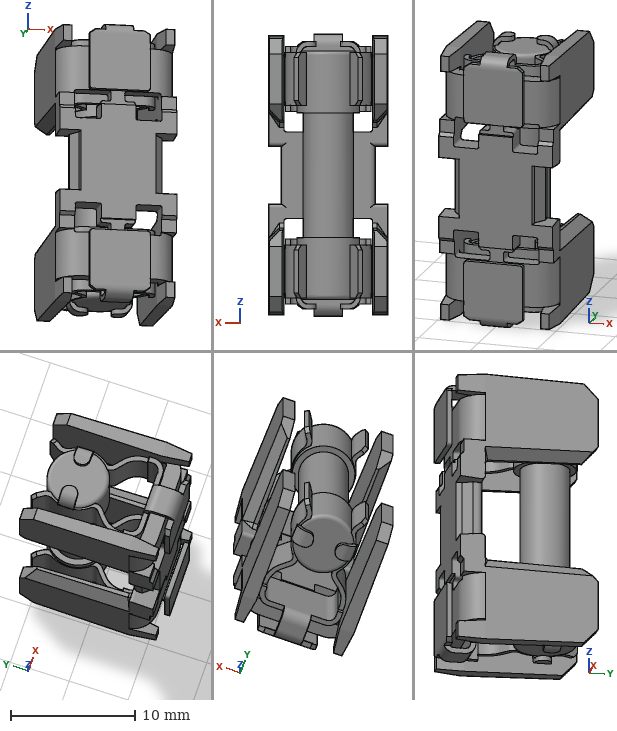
import cadquery as cq


WALL_OPEN_Y = 6.0
PLATE_BACK_Y = -3.31
CLIP_SEAT_Y = -3.72
PLATE_FRONT_Y = -5.08
BODY_FRONT_Y = -5.36
LEG_TIP_Y = -5.53

HALF_WIDTH = 4.8
OPEN_HALF_WIDTH = 4.72
WALL_INNER_X = 3.56
WALL_INNER_OPEN_X = 3.72
WAIST_HALF_WIDTH = 3.8
WAIST_FRONT_HALF_WIDTH = 3.07
PLATE_CORNER_RADIUS = 2.04

FLANGE_BOTTOM_Z = 2.48
FLANGE_BACK_DROP = 0.15
FLANGE_TOP_Z = 5.62
PLATE_TOP_Z = 9.52
WALL_TOP_Z = 11.24
LEG_BOTTOM_Z = 9.65
STEP_BOTTOM_Z = 4.28

WINDOW_BOTTOM_Z = 3.5
WINDOW_TOP_Z = 5.9
TONGUE_TOP_Z = 4.73
TONGUE_HALF_WIDTH = 1.42
NECK_HALF_WIDTH = 0.57
NECK_BOTTOM_Z = 5.05
WINDOW_FILLET = 0.2

FUSE_Y = 2.59
FUSE_BODY_RADIUS = 2.02
CAP_RADIUS = 2.53
CAP_BOTTOM_Z = 5.02
CAP_TOP_Z = 10.0
CAP_FILLET = 0.33

SHEET = 0.43
ARM_SHEET = 0.4
ARM_TIP_CHAMFER = 0.4
CLIP_HALF_WIDTH = 3.46
CLIP_BACK_Y = -3.76
CLIP_BASE_BOTTOM_Z = 5.12
CLIP_BASE_TOP_Z = 10.37
ARM_BOTTOM_Z = 5.63
ARM_TOP_Z = 9.88
ARM_START_Y = -2.28

PAD_FRONT_Y = -6.0
PAD_HALF_WIDTH = 2.48
PAD_BOTTOM_Z = 5.82
PAD_TOP_Z = 10.78
PAD_CORNER = 0.24
PAD_TOP_BEVEL_X = 0.48
PAD_TOP_BEVEL_Z = 0.33
TAB_HALF_WIDTH = 1.15
TAB_TOP_Z = 11.35
TAB_BEND_RADIUS = 0.9

STOPPER_Y = 2.8
STOPPER_WIDTH = 1.35
STOPPER_TIP_X = 0.97
STOPPER_BEND_X = 1.65
STOPPER_OUTER_X = 2.58
STOPPER_TIP_FILLET = 0.64
STOPPER_TOP_Z = 10.75


def mirror_x(half):
    return half.union(half.mirror("YZ"))


def extrude_x(sketch_points, x_start, x_end):
    """Extrude a closed (y, z) polygon between two X levels."""
    return (cq.Workplane("YZ", origin=(x_start, 0, 0))
            .polyline(sketch_points).close().extrude(x_end - x_start))


def box_between(low, high):
    size = [b - a for a, b in zip(low, high)]
    return cq.Workplane("XY").box(*size, centered=False).translate(low)



def waist():
    """Narrow middle of the housing between the two flanges."""
    side_draft = 0.08
    slant_front_y = -4.87
    slant_back_y = -4.1
    back_radius = 0.45
    half = (cq.Workplane("XY")
            .moveTo(0, BODY_FRONT_Y)
            .lineTo(WAIST_FRONT_HALF_WIDTH, BODY_FRONT_Y)
            .lineTo(WAIST_FRONT_HALF_WIDTH + side_draft, slant_front_y)
            .lineTo(WAIST_HALF_WIDTH, slant_back_y)
            .lineTo(WAIST_HALF_WIDTH, PLATE_BACK_Y - back_radius)
            .radiusArc((WAIST_HALF_WIDTH - back_radius, PLATE_BACK_Y), -back_radius)
            .lineTo(0, PLATE_BACK_Y)
            .close().extrude(FLANGE_BOTTOM_Z + FLANGE_BACK_DROP))
    return mirror_x(half)


def flange():
    """Full-width band with a stepped front and the raised central tongue."""
    step = PLATE_FRONT_Y - BODY_FRONT_Y
    back_radius = 0.3
    band = (cq.Workplane("YZ", origin=(-HALF_WIDTH, 0, 0))
            .moveTo(PLATE_BACK_Y, FLANGE_TOP_Z)
            .lineTo(PLATE_BACK_Y, FLANGE_BOTTOM_Z - FLANGE_BACK_DROP + back_radius)
            .radiusArc((PLATE_BACK_Y - back_radius, FLANGE_BOTTOM_Z - FLANGE_BACK_DROP), back_radius)
            .lineTo(BODY_FRONT_Y, FLANGE_BOTTOM_Z)
            .lineTo(BODY_FRONT_Y, STEP_BOTTOM_Z)
            .lineTo(PLATE_FRONT_Y, STEP_BOTTOM_Z + step)
            .lineTo(PLATE_FRONT_Y, FLANGE_TOP_Z)
            .close().extrude(2 * HALF_WIDTH))
    tongue = box_between((-TONGUE_HALF_WIDTH, BODY_FRONT_Y, FLANGE_BOTTOM_Z),
                         (TONGUE_HALF_WIDTH, PLATE_BACK_Y, TONGUE_TOP_Z))
    return band.union(tongue)


def upper_plate():
    """Plate behind the solder pad, with large round outer corners."""
    flat_x = HALF_WIDTH - PLATE_CORNER_RADIUS
    half = (cq.Workplane("XY", origin=(0, 0, FLANGE_TOP_Z))
            .moveTo(0, PLATE_FRONT_Y)
            .lineTo(flat_x, PLATE_FRONT_Y)
            .radiusArc((HALF_WIDTH, PLATE_FRONT_Y + PLATE_CORNER_RADIUS), -PLATE_CORNER_RADIUS)
            .lineTo(0, PLATE_FRONT_Y + PLATE_CORNER_RADIUS)
            .close().extrude(PLATE_TOP_Z - FLANGE_TOP_Z))
    plate = mirror_x(half)
    behind = box_between((-HALF_WIDTH, PLATE_BACK_Y, 0), (HALF_WIDTH, 0, WALL_TOP_Z))
    return plate.cut(behind)


def windows():
    """Through openings on both sides of the tongue and its narrow neck."""
    depth = -LEG_TIP_Y
    half = (cq.Workplane("XZ")
            .moveTo(TONGUE_HALF_WIDTH, WINDOW_BOTTOM_Z)
            .lineTo(WALL_INNER_X, WINDOW_BOTTOM_Z)
            .lineTo(WALL_INNER_X, WINDOW_TOP_Z)
            .lineTo(NECK_HALF_WIDTH, WINDOW_TOP_Z)
            .lineTo(NECK_HALF_WIDTH, NECK_BOTTOM_Z)
            .lineTo(TONGUE_HALF_WIDTH, NECK_BOTTOM_Z)
            .close().extrude(depth)
            .edges("|Y").fillet(WINDOW_FILLET))
    return mirror_x(half)


def clip_seat():
    """Recess that leaves room for the clip base between the walls."""
    clearance = 0.1
    return box_between((-WALL_INNER_X, CLIP_SEAT_Y, NECK_BOTTOM_Z - clearance),
                       (WALL_INNER_X, 0, WALL_TOP_Z))


def wall_bevel(path_points):
    """Wedge along a (y, z) path that bevels the lower outer edge of the wall at x > 0."""
    bevel_height = 0.86
    lip = 0.38
    margin = 1.0
    inner_x = WALL_INNER_X + lip
    outer_x = HALF_WIDTH + margin
    rise = bevel_height * (outer_x - inner_x) / (HALF_WIDTH - inner_x)
    start_y, start_z = path_points[0]
    path = cq.Workplane("YZ").polyline(path_points)
    return (cq.Workplane("XZ", origin=(0, start_y, start_z))
            .polyline([(inner_x, 0), (outer_x, rise), (outer_x, -margin), (inner_x, -margin)])
            .close().sweep(path, transition="right"))


def wall():
    """Side wall at x > 0, with drafted faces and a bevelled lower edge."""
    shoulder_y = 4.81
    shoulder_z = 10.99
    open_edge_top_z = 9.75
    open_edge_bottom_z = 5.75
    bottom_open = (shoulder_y, 4.46)
    bottom_root = (-2.95, 4.24)
    root = (PLATE_BACK_Y, 3.85)
    open_slope = (bottom_open[1] - bottom_root[1]) / (bottom_open[0] - bottom_root[0])
    bevel_start = (WALL_OPEN_Y, bottom_open[1] + open_slope * (WALL_OPEN_Y - bottom_open[0]))
    side = extrude_x([(PLATE_BACK_Y, WALL_TOP_Z), (shoulder_y, shoulder_z),
                      (WALL_OPEN_Y, open_edge_top_z), (WALL_OPEN_Y, open_edge_bottom_z), bottom_open,
                      bottom_root, root],
                     WALL_INNER_X, HALF_WIDTH)
    plan = (cq.Workplane("XY")
            .polyline([(WALL_INNER_X, PLATE_BACK_Y), (HALF_WIDTH, PLATE_BACK_Y),
                       (OPEN_HALF_WIDTH, WALL_OPEN_Y), (WALL_INNER_OPEN_X, WALL_OPEN_Y)])
            .close().extrude(WALL_TOP_Z))
    return side.intersect(plan).cut(wall_bevel([bevel_start, bottom_root, root]))


def leg():
    """Tapered foot that continues the wall toward -Y."""
    length = PLATE_BACK_Y - LEG_TIP_Y
    root_center = ((HALF_WIDTH + WALL_INNER_X) / 2, (WALL_TOP_Z + LEG_BOTTOM_Z) / 2)
    tip_center = (4.215, 10.45)
    tip_size = (0.72, 1.3)
    return (cq.Workplane("XZ", origin=(0, PLATE_BACK_Y, 0))
            .center(*root_center)
            .rect(HALF_WIDTH - WALL_INNER_X, WALL_TOP_Z - LEG_BOTTOM_Z)
            .workplane(offset=length)
            .center(tip_center[0] - root_center[0], tip_center[1] - root_center[1])
            .rect(*tip_size)
            .loft(combine=True))


def housing():
    plate = waist().union(flange()).union(upper_plate()).cut(clip_seat()).cut(windows())
    return plate.union(mirror_x(wall().union(leg())))



def fuse():
    body = cq.Workplane("XY").center(0, FUSE_Y).circle(FUSE_BODY_RADIUS).extrude(CAP_TOP_Z - CAP_FILLET)
    cap = (cq.Workplane("XY", origin=(0, FUSE_Y, CAP_BOTTOM_Z))
           .circle(CAP_RADIUS).extrude(CAP_TOP_Z - CAP_BOTTOM_Z)
           .faces(">Z").edges().fillet(CAP_FILLET))
    return body.union(cap)



def clip_base():
    """U-shaped strip against the plate, with rounded corners."""
    corner = 1.05
    outer = box_between((-CLIP_HALF_WIDTH, CLIP_BACK_Y, CLIP_BASE_BOTTOM_Z),
                        (CLIP_HALF_WIDTH, ARM_START_Y, CLIP_BASE_TOP_Z))
    outer = outer.edges("|Z and <Y").fillet(corner)
    inner_x = CLIP_HALF_WIDTH - SHEET
    inner = box_between((-inner_x, CLIP_BACK_Y + SHEET, CLIP_BASE_BOTTOM_Z),
                        (inner_x, 0, CLIP_BASE_TOP_Z))
    inner = inner.edges("|Z and <Y").fillet(corner - SHEET)
    return outer.cut(inner)


def clip_arm():
    """Spring arm at x > 0: bulges in, hugs the cap and flares at the tip."""
    start = (CLIP_HALF_WIDTH - ARM_SHEET / 2, ARM_START_Y)
    bulge = (3.12, -1.25)
    bulge_end = (2.62, -0.5)
    lower_pinch_start = (1.9, 0.12)
    lower_pinch = (1.72, 0.42)
    hug_start = (1.78, 0.92)
    hug = (2.41, FUSE_Y)
    hug_end = (2.05, 3.95)
    upper_pinch = (1.94, 4.35)
    flare = (2.02, 4.8)
    tip = (2.58, 5.68)
    path = (cq.Workplane("XY", origin=(0, 0, ARM_BOTTOM_Z))
            .moveTo(*start)
            .threePointArc(bulge, bulge_end)
            .lineTo(*lower_pinch_start)
            .threePointArc(lower_pinch, hug_start)
            .threePointArc(hug, hug_end)
            .threePointArc(upper_pinch, flare)
            .lineTo(*tip))
    arm_height = ARM_TOP_Z - ARM_BOTTOM_Z
    chamfer = ARM_TIP_CHAMFER
    beyond = 1.0
    tip_plane = cq.Plane(origin=(*tip, ARM_BOTTOM_Z), xDir=(tip[0] - flare[0], tip[1] - flare[1], 0),
                         normal=(tip[1] - flare[1], flare[0] - tip[0], 0))
    tip_trim = (cq.Workplane(tip_plane)
                .polyline([(-chamfer, 0), (0, chamfer), (0, arm_height - chamfer), (-chamfer, arm_height),
                           (beyond, arm_height), (beyond, 0)])
                .close().extrude(ARM_SHEET, both=True))
    arm = path.offset2D(ARM_SHEET / 2).extrude(arm_height)
    return arm.cut(tip_trim)


def stopper():
    """Finger at x > 0 bent from the arm over the end of the cap."""
    bend_radius = STOPPER_OUTER_X - STOPPER_BEND_X
    side = (cq.Workplane("XZ", origin=(0, STOPPER_Y + STOPPER_WIDTH / 2, 0))
            .moveTo(STOPPER_TIP_X, STOPPER_TOP_Z)
            .lineTo(STOPPER_BEND_X, STOPPER_TOP_Z)
            .radiusArc((STOPPER_OUTER_X, STOPPER_TOP_Z - bend_radius), bend_radius)
            .lineTo(STOPPER_OUTER_X - ARM_SHEET, STOPPER_TOP_Z - bend_radius)
            .radiusArc((STOPPER_BEND_X, STOPPER_TOP_Z - ARM_SHEET), ARM_SHEET - bend_radius)
            .lineTo(STOPPER_TIP_X, STOPPER_TOP_Z - ARM_SHEET)
            .close().extrude(STOPPER_WIDTH))
    return side.edges("|Z and <X").fillet(STOPPER_TIP_FILLET)


def pad_and_tab():
    """Strip that leaves the clip base, turns over the plate and becomes the pad."""
    base_inner_y = CLIP_BACK_Y + SHEET
    root_z = (CLIP_BASE_BOTTOM_Z + CLIP_BASE_TOP_Z) / 2
    outer = TAB_BEND_RADIUS
    inner = outer - SHEET
    inner_top = TAB_TOP_Z - SHEET
    bend_z = TAB_TOP_Z - outer
    profile = (cq.Workplane("YZ", origin=(-PAD_HALF_WIDTH, 0, 0))
               .moveTo(PAD_FRONT_Y, PAD_BOTTOM_Z)
               .lineTo(PAD_FRONT_Y, bend_z)
               .radiusArc((PAD_FRONT_Y + outer, TAB_TOP_Z), outer)
               .lineTo(base_inner_y - outer, TAB_TOP_Z)
               .radiusArc((base_inner_y, bend_z), outer)
               .lineTo(base_inner_y, root_z)
               .lineTo(CLIP_BACK_Y, root_z)
               .lineTo(CLIP_BACK_Y, bend_z)
               .radiusArc((CLIP_BACK_Y - inner, inner_top), -inner)
               .lineTo(PAD_FRONT_Y + outer, inner_top)
               .radiusArc((PAD_FRONT_Y + SHEET, bend_z), -inner)
               .lineTo(PAD_FRONT_Y + SHEET, PAD_BOTTOM_Z)
               .close().extrude(2 * PAD_HALF_WIDTH))
    bevel_z = PAD_TOP_Z - PAD_TOP_BEVEL_Z
    bevel_x = PAD_HALF_WIDTH - PAD_TOP_BEVEL_X
    pad_outline = (cq.Workplane("XZ", origin=(0, PAD_FRONT_Y + outer, 0))
                   .polyline([(-PAD_HALF_WIDTH, PAD_BOTTOM_Z), (PAD_HALF_WIDTH, PAD_BOTTOM_Z),
                              (PAD_HALF_WIDTH, bevel_z), (bevel_x, PAD_TOP_Z), (-bevel_x, PAD_TOP_Z),
                              (-PAD_HALF_WIDTH, bevel_z)])
                   .close().extrude(outer)
                   .edges("|Y and <Z").fillet(PAD_CORNER))
    tab_outline = box_between((-TAB_HALF_WIDTH, PAD_FRONT_Y, PAD_TOP_Z - outer),
                              (TAB_HALF_WIDTH, 0, TAB_TOP_Z))
    return profile.intersect(pad_outline.union(tab_outline))


def clip():
    return clip_base().union(mirror_x(clip_arm().union(stopper()))).union(pad_and_tab())


upper_half = housing().union(fuse()).union(clip())
result = upper_half.union(upper_half.mirror("XY"))